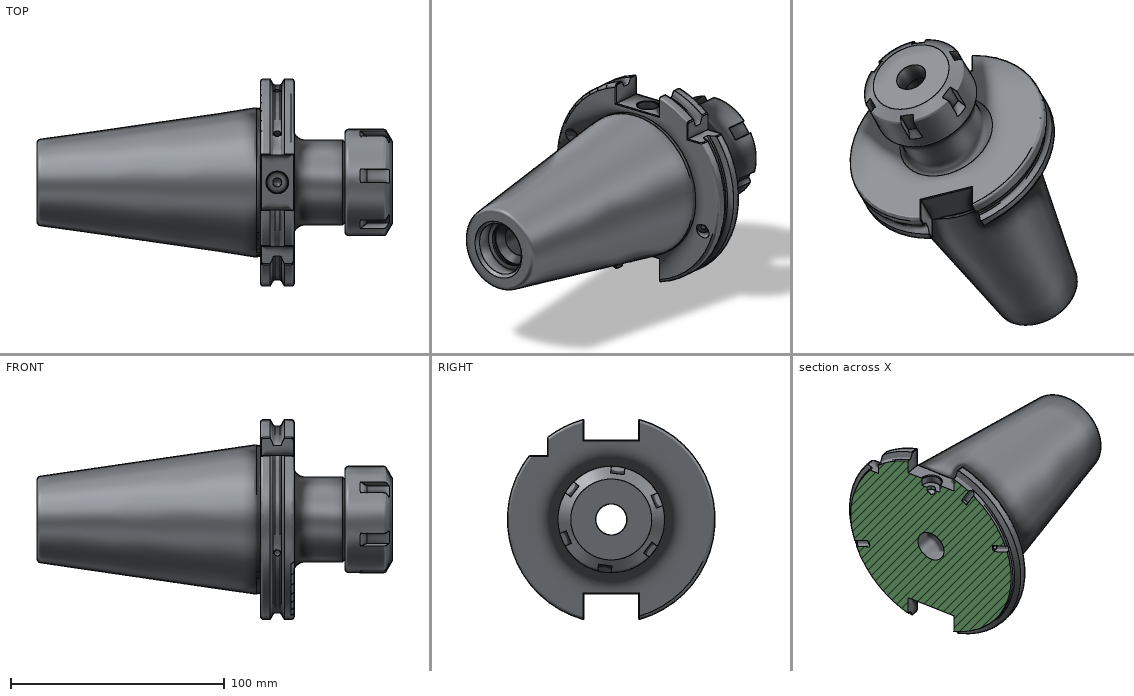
import cadquery as cq
import math


overall_length = 167.03

gauge_radius = 69.85 / 2
taper_length = 101.75
taper_ratio = 7 / 24
shank_end_radius = gauge_radius - taper_length * taper_ratio / 2
shank_end_fillet = 2.2

taper_run_out = 0.4
relief_start = 1.4
relief_depth = 0.4

flange_start = 3.2
flange_end = 19.1
flange_radius = 97.5 / 2
flange_edge_fillet = 1.5
groove_center = 11.1
groove_half_width = 3.4
groove_floor_radius = 45.8
groove_half_angle = math.radians(30)
groove_corner_radius = 0.9

slot_width = 25.7
slot_edge_chamfer = 0.4
upper_slot_floor = 37.2
lower_slot_floor = 35.0
notch_offset = 30.0

slot_hole_diameter = 9.8
slot_hole_depth = 4.0
slot_hole_chamfer = 0.4
slot_pilot_diameter = 4.2
slot_pilot_depth = 6.0
drill_tip_angle = math.radians(59)

coolant_angle = 20.0
coolant_radius = 41.7
coolant_diameter = 6.2
coolant_length = 3.5
coolant_feed_diameter = 2.5
coolant_feed_length = 9.0
coolant_tilt = 35.0
groove_hole_diameter = 3.0
groove_hole_depth = 8.0
single_hole_angle = 60.0

neck_radius = 20.0
neck_root_radius = 23.2
neck_root_end = 24.0
neck_end = 41.7
spigot_radius = 19.0
spigot_end = 55.0

bore_mouth_radius = 14.0
bore_mouth_chamfer = 1.5
pilot_bore_radius = 12.5
pilot_bore_depth = 8.2
thread_bore_radius = 10.5
thread_major_radius = 11.8
thread_pitch = 1.0
thread_turns = 3
through_radius = 7.25
bore_step_angle = math.radians(45)

nut_start = 42.8
nut_end = overall_length - taper_length
nut_radius = 25.0
nut_face_radius = 19.0
nut_cone_angle = math.radians(60)
nut_back_fillet = 2.0
nut_front_fillet = 1.5
wrench_slot_count = 6
wrench_slot_width = 6.4
wrench_slot_floor = 21.6
wrench_slot_start = 49.9
wrench_slot_phase = 7.5

margin = 5.0
edge_tolerance = 0.5


def revolve_about_x(outline):
    """Turn a closed outline of (x, radius) points about the X axis."""
    return outline.close().revolve(360, (0, 0, 0), (1, 0, 0))


def rings_at(start, end, radius):
    """Select the edges that lie within a radius of the X axis, between two places along it."""
    reach = radius + edge_tolerance
    return cq.selectors.BoxSelector((start, -reach, -reach), (end, reach, reach), boundingbox=True)


def disc(start, end, radius):
    return cq.Workplane("YZ").workplane(offset=start).circle(radius).extrude(end - start)


def drilling(start, direction, diameter, length):
    return cq.Workplane(cq.Solid.makeCylinder(diameter / 2, length, start, direction))


def make_shank():
    land_radius = gauge_radius + taper_run_out * taper_ratio / 2
    relief_middle = (relief_start + flange_start) / 2
    outline = (
        cq.Workplane("XZ")
        .moveTo(-taper_length, 0)
        .lineTo(-taper_length, shank_end_radius)
        .lineTo(taper_run_out, land_radius)
        .lineTo(relief_start, land_radius)
        .threePointArc((relief_middle, land_radius - relief_depth), (flange_start, land_radius))
        .lineTo(flange_start, 0)
    )
    return revolve_about_x(outline).faces("<X").edges().fillet(shank_end_fillet)


def make_gripper_groove():
    """Ring with 30 degree flanks and rounded floor corners, cut from the flange rim."""
    depth = flange_radius - groove_floor_radius
    outer_half_width = groove_half_width + margin * math.tan(groove_half_angle)
    floor_half_width = groove_half_width - depth * math.tan(groove_half_angle)
    outline = (
        cq.Workplane("XZ")
        .moveTo(groove_center - outer_half_width, flange_radius + margin)
        .lineTo(groove_center - floor_half_width, groove_floor_radius)
        .lineTo(groove_center + floor_half_width, groove_floor_radius)
        .lineTo(groove_center + outer_half_width, flange_radius + margin)
    )
    ring = revolve_about_x(outline)
    floor_edges = rings_at(
        groove_center - groove_half_width, groove_center + groove_half_width, groove_floor_radius
    )
    return ring.edges(floor_edges).fillet(groove_corner_radius)


def make_flange():
    flange = disc(flange_start, flange_end, flange_radius)
    flange = flange.edges("%CIRCLE").fillet(flange_edge_fillet).cut(make_gripper_groove())

    width = flange_end - flange_start
    block = cq.Workplane("XY").box(width, slot_width, flange_radius, centered=(False, True, False))
    flange = flange.cut(block.translate((flange_start, 0, upper_slot_floor)))
    flange = flange.cut(block.translate((flange_start, 0, -lower_slot_floor - flange_radius)))

    corner = cq.Workplane("XY").box(width, flange_radius, flange_radius, centered=False)
    flange = flange.cut(corner.translate((flange_start, -notch_offset - flange_radius, notch_offset)))

    return flange.faces("<X or >X").edges("%LINE").chamfer(slot_edge_chamfer)


def make_neck():
    """Cylinder that flares into the flange with an arc tangent to the neck."""
    flare_length = neck_root_end - flange_end
    flare_height = neck_root_radius - neck_radius
    flare_radius = (flare_length**2 + flare_height**2) / (2 * flare_height)
    half_sweep = math.asin(flare_length / flare_radius) / 2
    arc_middle = (
        neck_root_end - flare_radius * math.sin(half_sweep),
        neck_radius + flare_radius * (1 - math.cos(half_sweep)),
    )
    outline = (
        cq.Workplane("XZ")
        .moveTo(flange_start, 0)
        .lineTo(flange_start, neck_root_radius)
        .lineTo(flange_end, neck_root_radius)
        .threePointArc(arc_middle, (neck_root_end, neck_radius))
        .lineTo(neck_end, neck_radius)
        .lineTo(nut_start, spigot_radius)
        .lineTo(spigot_end, spigot_radius)
        .lineTo(spigot_end, 0)
    )
    return revolve_about_x(outline)


def make_bore():
    mouth = -taper_length
    thread_start = mouth + pilot_bore_depth
    thread_end = thread_start + thread_turns * thread_pitch
    cone_length = (thread_bore_radius - through_radius) / math.tan(bore_step_angle)
    outline = (
        cq.Workplane("XZ")
        .moveTo(mouth, 0)
        .lineTo(mouth, bore_mouth_radius)
        .lineTo(mouth + bore_mouth_chamfer, pilot_bore_radius)
        .lineTo(thread_start, pilot_bore_radius)
    )
    for turn in range(thread_turns):
        turn_start = thread_start + turn * thread_pitch
        outline = outline.lineTo(turn_start + thread_pitch / 2, thread_bore_radius)
        outline = outline.lineTo(turn_start + thread_pitch, thread_major_radius)
    outline = (
        outline.lineTo(thread_end, thread_bore_radius)
        .lineTo(thread_end + cone_length, through_radius)
        .lineTo(spigot_end, through_radius)
        .lineTo(spigot_end, 0)
    )
    return revolve_about_x(outline)


def make_slot_hole():
    start = cq.Vector(groove_center, 0, upper_slot_floor)
    down = cq.Vector(0, 0, -1)
    hole = drilling(start, down, slot_hole_diameter, slot_hole_depth)
    hole = hole.union(drilling(start, down, slot_pilot_diameter, slot_pilot_depth))
    mouth_radius = slot_hole_diameter / 2 + slot_hole_chamfer
    mouth = cq.Solid.makeCone(mouth_radius, mouth_radius - slot_hole_chamfer, slot_hole_chamfer, start, down)
    tip_length = slot_pilot_diameter / 2 / math.tan(drill_tip_angle)
    tip = cq.Solid.makeCone(slot_pilot_diameter / 2, 0, tip_length, start + down * slot_pilot_depth, down)
    return hole.union(cq.Workplane(mouth)).union(cq.Workplane(tip))


def make_groove_hole(angle):
    """Radial hole in the groove floor, at an angle from +Y towards +Z."""
    outward = cq.Vector(0, math.cos(math.radians(angle)), math.sin(math.radians(angle)))
    start = cq.Vector(groove_center, 0, 0) + outward * (groove_floor_radius + margin)
    return drilling(start, -outward, groove_hole_diameter, groove_hole_depth + margin)


def make_coolant_hole(angle):
    """Hole entering the rear flange face and leaning towards the spindle axis."""
    outward = cq.Vector(0, math.cos(math.radians(angle)), math.sin(math.radians(angle)))
    tilt = math.radians(coolant_tilt)
    direction = cq.Vector(math.cos(tilt), 0, 0) - outward * math.sin(tilt)
    entry = cq.Vector(flange_start, 0, 0) + outward * coolant_radius
    hole = drilling(entry - direction * margin, direction, coolant_diameter, coolant_length + margin)
    return hole.union(drilling(entry, direction, coolant_feed_diameter, coolant_feed_length))


def make_holder():
    holder = make_shank().union(make_flange()).union(make_neck())
    holder = holder.cut(make_bore()).cut(make_slot_hole())
    for angle in (coolant_angle, coolant_angle + 180):
        holder = holder.cut(make_coolant_hole(angle)).cut(make_groove_hole(angle))
    return holder.cut(make_groove_hole(single_hole_angle))


def make_wrench_slot():
    """Slot at +Z, open at the nut face, with a floor that ramps out at 45 degrees."""
    top = nut_radius + margin
    return (
        cq.Workplane("XZ")
        .moveTo(wrench_slot_start - margin, top)
        .lineTo(wrench_slot_start + nut_radius - wrench_slot_floor, wrench_slot_floor)
        .lineTo(nut_end, wrench_slot_floor)
        .lineTo(nut_end, top)
        .close()
        .extrude(wrench_slot_width / 2, both=True)
    )


def make_nut():
    cone_start = nut_end - (nut_radius - nut_face_radius) / math.tan(nut_cone_angle)
    outline = (
        cq.Workplane("XZ")
        .moveTo(nut_start, 0)
        .lineTo(nut_start, nut_radius)
        .lineTo(cone_start, nut_radius)
        .lineTo(nut_end, nut_face_radius)
        .lineTo(nut_end, 0)
    )
    nut = revolve_about_x(outline)
    nut = nut.faces("<X").edges().fillet(nut_back_fillet)
    rim = rings_at(cone_start - edge_tolerance, cone_start + edge_tolerance, nut_radius)
    nut = nut.edges(rim).fillet(nut_front_fillet)
    nut = nut.cut(disc(nut_start, spigot_end, spigot_radius)).cut(disc(spigot_end, nut_end, through_radius))

    for index in range(wrench_slot_count):
        angle = -wrench_slot_phase + index * 360 / wrench_slot_count
        nut = nut.cut(make_wrench_slot().rotate((0, 0, 0), (1, 0, 0), angle))
    return nut


holder = make_holder()
nut = make_nut()
result = cq.Compound.makeCompound([holder.solids().val(), nut.solids().val()])